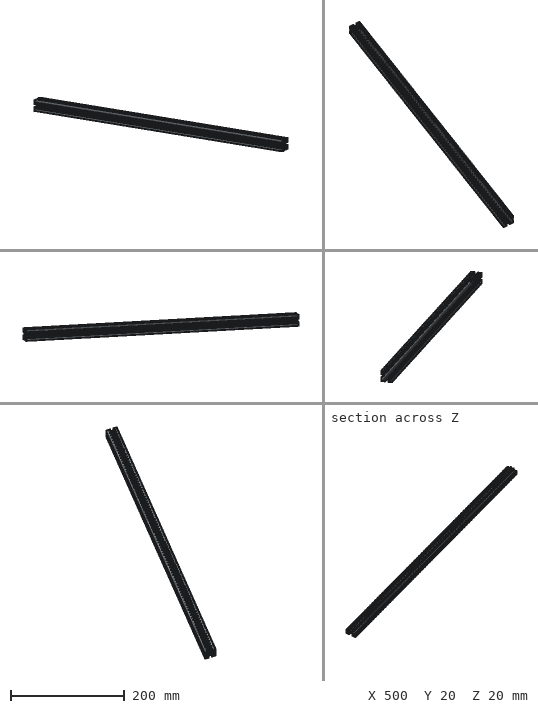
import cadquery as cq
import math

length = 500.0
width = 20.0
corner_radius = 1.0

mouth_width = 5.8
mouth_chamfer = 0.4
lip_thickness = 2.0
cavity_width = 11.4

core_width = 7.5
web_thickness = 1.8
groove_width = 1.0
groove_depth = 0.3
bore_diameter = 4.2

half_width = width / 2
half_mouth = mouth_width / 2
half_cavity = cavity_width / 2
half_core = core_width / 2
lip_inner = half_width - lip_thickness
web_offset = web_thickness / math.sqrt(2)


def along_length(section):
    """Extrude a closed YZ section over the whole length."""
    return section.extrude(length / 2, both=True)


def bar():
    """Square bar with rounded long edges."""
    block = along_length(cq.Workplane("YZ").rect(width, width))
    return block.edges("|X").fillet(corner_radius)


def t_slot():
    """Slot opening towards +Z: chamfered mouth, wide cavity, diagonal web flanks, grooved floor."""
    groove_bottom = (0, half_core - groove_depth)
    right_side = [
        (groove_width / 2, half_core),
        (half_core - web_offset, half_core),
        (half_cavity, half_cavity + web_offset),
        (half_cavity, lip_inner),
        (half_mouth, lip_inner),
        (half_mouth, half_width - mouth_chamfer),
        (half_mouth + mouth_chamfer, half_width),
    ]
    left_side = [(-y, z) for y, z in reversed(right_side)]
    outline = [groove_bottom] + right_side + left_side
    return along_length(cq.Workplane("YZ").polyline(outline).close())


def centre_bore():
    """Round bore through the whole length."""
    return along_length(cq.Workplane("YZ").circle(bore_diameter / 2))


result = bar()
for side_angle in (0, 90, 180, 270):
    result = result.cut(t_slot().rotate((0, 0, 0), (1, 0, 0), side_angle))
result = result.cut(centre_bore())